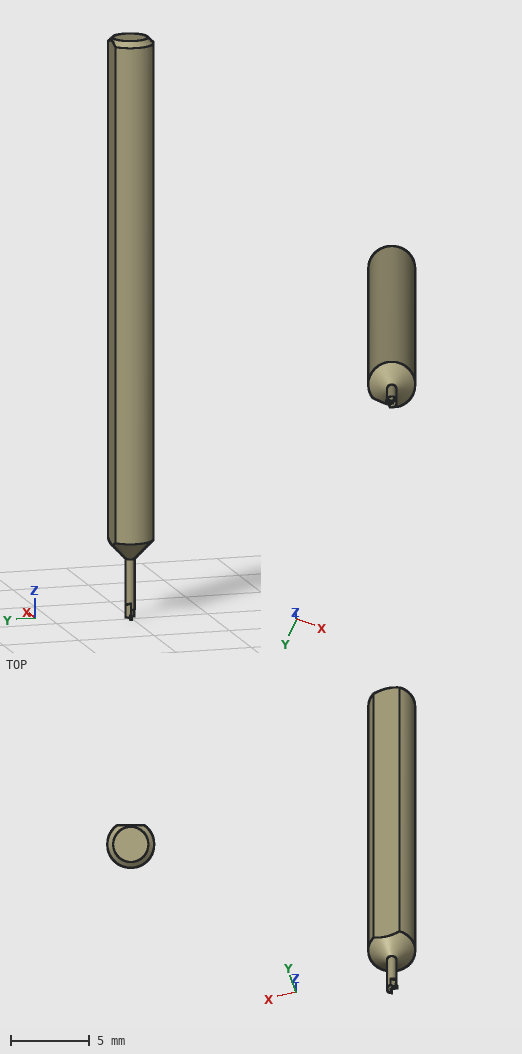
import cadquery as cq

length = 38.0
shank_radius = 1.5
flat_y = 1.235
shank_bottom = 5.2
top_chamfer_width = 0.38
top_chamfer_height = 0.38

neck_radius = 0.3
neck_top = 3.95
neck_bottom = 0.1

flute_top = 0.65
flute_wall_x = 0.08
tooth_tip_x = -0.38
tooth_height = 0.25
tooth_thickness = 0.08
tooth_end_rise = 0.05
relief_top = 1.05
relief_ramp = 0.15
relief_corner_y = 0.05


def turned_body():
    """Revolve the shank, cone and neck about Z."""
    top_radius = shank_radius - top_chamfer_width
    profile = [
        (0, neck_bottom),
        (neck_radius, neck_bottom),
        (neck_radius, neck_top),
        (shank_radius, shank_bottom),
        (shank_radius, length - top_chamfer_height),
        (top_radius, length),
        (0, length),
    ]
    return cq.Workplane("XZ").polyline(profile).close().revolve(360, (0, 0), (0, 1))


def shank_flat():
    """Material beyond the flat on the +Y side."""
    width = 2 * shank_radius
    return cq.Workplane("XY").box(width, width, length, centered=(True, False, False)).translate((0, flat_y, 0))


def flute():
    """Pocket in front of the cutting face, open to -X, -Y and the bottom."""
    reach = 2 * neck_radius
    return (
        cq.Workplane("XY")
        .box(reach, reach, flute_top, centered=False)
        .translate((flute_wall_x - reach, -reach, 0))
    )


def back_relief():
    """Slanted clearance behind the tooth, narrowing over a short ramp at its top."""
    outline = [
        (-neck_radius, relief_corner_y),
        (0, neck_radius),
        (-neck_radius, neck_radius),
    ]
    straight = cq.Workplane("XY").polyline(outline).close().extrude(relief_top - relief_ramp)
    run_out = (
        cq.Workplane("XZ", origin=(0, neck_radius, 0))
        .polyline([
            (-neck_radius, relief_top - relief_ramp),
            (0, relief_top - relief_ramp),
            (-neck_radius, relief_top),
        ])
        .close()
        .extrude(neck_radius - relief_corner_y)
    )
    column = cq.Workplane("XY").polyline(outline).close().extrude(relief_top)
    return straight.union(run_out.intersect(column))


def tooth():
    """Small cutting tooth whose face lies in the XZ plane, pointing to -X and down."""
    outline = [
        (tooth_tip_x, 0),
        (flute_wall_x, neck_bottom + tooth_end_rise),
        (flute_wall_x, tooth_height),
        (tooth_tip_x, tooth_height),
    ]
    return cq.Workplane("XZ").polyline(outline).close().extrude(-tooth_thickness)


result = turned_body().cut(shank_flat()).cut(flute()).cut(back_relief()).union(tooth())